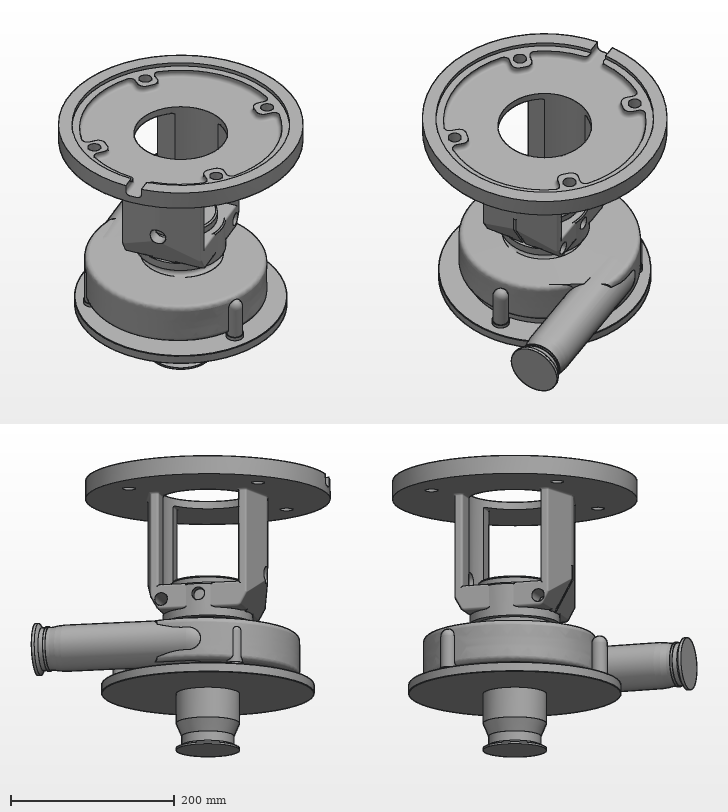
import cadquery as cq
import math

OVERALL_LENGTH_Y = 343.7
POSITION_TOLERANCE = 0.17
SELECTION_MARGIN = 3.5

FLANGE_TOP = 337.5
FLANGE_THICKNESS = 22.7
FLANGE_BOTTOM = FLANGE_TOP - FLANGE_THICKNESS
FLANGE_RADIUS = 300.0 / 2
BORE_RADIUS = 57.5
REGISTER_RADIUS = 133.5
REGISTER_DEPTH = 4.8
POCKET_RADIUS = 124.0
POCKET_FLOOR = FLANGE_TOP - 13.5
POCKET_FLOOR_FILLET = 5.5
POCKET_CORNER_RADIUS = 7.0
PAD_HALF_WIDTH = 13.0
PAD_INWARD_REACH = 15.8
PAD_CORNER_RADIUS = 9.0
BOLT_CIRCLE_RADIUS = 114.5
BOLT_ANGLES = (45, 135, 225, 315)
BOLT_HOLE_DIAMETER = 15.8
DRAIN_WIDTH = 20.5
DRAIN_CORNER_RADIUS = 5.5

HUB_BOTTOM = 157.8
HUB_TOP = 199.5
HUB_RADIUS = 110.3 / 2
HUB_CHAMFER = 1.7
BODY_BOTTOM = 168.0
BODY_HALF_WIDTH = 53.0
ARM_APEX_Y = 74.5
ARM_APEX_HALF_WIDTH = 3.0
ARM_SIDE_Y = 60.0
WINDOW_HALF_WIDTH = 50.0
WINDOW_EDGE_FILLET = 3.0
ARM_ROOT_FILLET = 2.5
BODY_EDGE_FILLET = 2.7
FOOT_FILLET = 6.2
RIDGE_LOWEST_Z = 182.0
RIDGE_FILLET = 1.7
FOOT_SLOPE_TOP = 209.5
FOOT_SLOPE = 0.56
CAP_RADIUS = 89.7 / 2
CAP_TOP = 209.5
CAP_CHAMFER = 2.0
ARM_HOLE_DIAMETER = 20.5
ARM_HOLE_Z = 216.5
CLAMP_SLOT_WIDTH = 3.8
CLAMP_HOLE_DIAMETER = 15.8
CLAMP_HOLE_Y = 47.0
CLAMP_HOLE_Z = 180.8
SIDE_HOLE_Z = 185.3

CASING_BOTTOM = 90.0
CASING_CENTER_Z = 115.5
NECK_RADIUS = 46.0
NECK_FILLET_BOTTOM = 145.5
NECK_FILLET_TOP = 151.5
DOME_INNER_RADIUS = 50.5
DOME_INNER_Z = 145.7
DOME_OUTER_RADIUS = 137.5
DOME_OUTER_Z = 139.5
DOME_TILT = 0.5
VOLUTE_START_RADIUS = 97.5
VOLUTE_GROWTH_PER_TURN = 24.7
VOLUTE_START_ANGLE = 140
VOLUTE_TURNS = 0.94
VOLUTE_STEPS = 24
CASING_TOP_FILLET = 6.5
CASING_BOTTOM_FILLET = 5.5

PLATE_BOTTOM = 70.8
PLATE_TOP = 82.5
PLATE_RADIUS = 261.0 / 2
PLATE_CHAMFER = 0.7
PLATE_REGISTER_RADIUS = 97.0
STUD_CIRCLE_RADIUS = 109.3
STUD_ANGLES = (90, 210, 330)
STUD_RADIUS = 9.5
STUD_DOME_Z = 126.5
STUD_WASHER_RADIUS = 10.5
STUD_WASHER_TOP = 87.0

INLET_RADIUS = 78.0 / 2
INLET_NARROW_RADIUS = 64.3 / 2
INLET_CONE_TOP = 33.7
INLET_CONE_BOTTOM = 17.5
FERRULE_CONE_TOP = 6.0
FERRULE_RIM_THICKNESS = 2.5

OUTLET_X = -95.0
OUTLET_RADIUS = 28.5
OUTLET_END_Y = OVERALL_LENGTH_Y - FLANGE_RADIUS
OUTLET_RIM_RADIUS = 64.3 / 2
OUTLET_NECK_RADIUS = 26.5
OUTLET_RIM_Y = OUTLET_END_Y - 3.8
OUTLET_NECK_Y = OUTLET_END_Y - 7.2
OUTLET_BEAD_RADIUS = 27.5
OUTLET_BEAD_Y = OUTLET_END_Y - 13.0
OUTLET_BEAD_WIDTH = 3.0
OUTLET_COLLAR_Y = OUTLET_END_Y - 21.0
OUTLET_SHOULDER_RADIUS = 28.0
OUTLET_SHOULDER_Y = OUTLET_END_Y - 28.2
OUTLET_TAPER_Y = OUTLET_END_Y - 36.0


def cylinder(radius, bottom, top):
    return cq.Workplane("XY").workplane(offset=bottom).circle(radius).extrude(top - bottom)


def box(x_min, x_max, y_min, y_max, z_min, z_max):
    size = (x_max - x_min, y_max - y_min, z_max - z_min)
    return cq.Workplane("XY").box(*size, centered=False).translate((x_min, y_min, z_min))


def rounded_at_radius(solid, at_radius, fillet_radius):
    """Round the upright edges of a solid that stand at the given distance from the Z axis."""
    corners = solid.edges("|Z").filter(
        lambda edge: abs(math.hypot(edge.Center().x, edge.Center().y) - at_radius) < POSITION_TOLERANCE
    )
    return corners.fillet(fillet_radius)


def make_motor_pocket():
    """Pocket volume with four bolt pads left standing and a drain channel toward -Y."""
    pocket = cylinder(POCKET_RADIUS, POCKET_FLOOR, FLANGE_TOP)
    pad = (
        box(BOLT_CIRCLE_RADIUS - PAD_INWARD_REACH, FLANGE_RADIUS, -PAD_HALF_WIDTH, PAD_HALF_WIDTH,
            POCKET_FLOOR, FLANGE_TOP)
        .edges("|Z and <X").fillet(PAD_CORNER_RADIUS)
    )
    for angle in BOLT_ANGLES:
        pocket = pocket.cut(pad.rotate((0, 0, 0), (0, 0, 1), angle))
    pocket = rounded_at_radius(pocket, POCKET_RADIUS, POCKET_CORNER_RADIUS)

    drain_end = FLANGE_RADIUS + 2 * POCKET_FLOOR_FILLET
    drain = box(-DRAIN_WIDTH / 2, DRAIN_WIDTH / 2, -drain_end, -BOLT_CIRCLE_RADIUS,
                POCKET_FLOOR, FLANGE_TOP)
    pocket = rounded_at_radius(pocket.union(drain), POCKET_RADIUS, DRAIN_CORNER_RADIUS)
    return pocket.faces("<Z").edges().fillet(POCKET_FLOOR_FILLET)


def make_flange():
    """Motor flange with its register recess, pocket and bolt holes."""
    flange = cylinder(FLANGE_RADIUS, FLANGE_BOTTOM, FLANGE_TOP)
    flange = flange.cut(cylinder(REGISTER_RADIUS, FLANGE_TOP - REGISTER_DEPTH, FLANGE_TOP))
    flange = flange.cut(make_motor_pocket())
    for angle in BOLT_ANGLES:
        hole = cylinder(BOLT_HOLE_DIAMETER / 2, FLANGE_BOTTOM, FLANGE_TOP)
        hole = hole.translate((BOLT_CIRCLE_RADIUS, 0, 0))
        flange = flange.cut(hole.rotate((0, 0, 0), (0, 0, 1), angle))
    return flange


def make_foot_wedges():
    """Pair of wedges that slope the lower ends of the two arms back to the hub."""
    sloped_height = FOOT_SLOPE_TOP - BODY_BOTTOM
    foot_y = ARM_APEX_Y - FOOT_SLOPE * sloped_height
    wedge = (
        cq.Workplane("YZ")
        .polyline([(ARM_APEX_Y, FOOT_SLOPE_TOP), (ARM_APEX_Y, BODY_BOTTOM), (foot_y, BODY_BOTTOM)])
        .close().extrude(BODY_HALF_WIDTH, both=True)
    )
    return wedge.union(wedge.mirror("XZ"))


def make_lantern_body():
    """Six-sided body between hub and flange, open across X, with its lower ends sloped."""
    half_outline = [
        (BODY_HALF_WIDTH, ARM_SIDE_Y),
        (ARM_APEX_HALF_WIDTH, ARM_APEX_Y),
        (-ARM_APEX_HALF_WIDTH, ARM_APEX_Y),
        (-BODY_HALF_WIDTH, ARM_SIDE_Y),
    ]
    outline = half_outline + [(-x, -y) for x, y in half_outline]
    body = (
        cq.Workplane("XY").workplane(offset=BODY_BOTTOM)
        .polyline(outline).close().extrude(FLANGE_BOTTOM - BODY_BOTTOM)
    )
    body = body.cut(make_foot_wedges())
    body = body.faces("<Z").edges("|X").fillet(FOOT_FILLET)
    body = body.faces(">X or <X").edges("not >Z").fillet(BODY_EDGE_FILLET)
    ridge_height = cq.selectors.BoxSelector(
        (-BODY_HALF_WIDTH, -ARM_APEX_Y - SELECTION_MARGIN, RIDGE_LOWEST_Z),
        (BODY_HALF_WIDTH, ARM_APEX_Y + SELECTION_MARGIN, FOOT_SLOPE_TOP + SELECTION_MARGIN),
    )
    body = body.edges(ridge_height).edges("not |Z").fillet(RIDGE_FILLET)
    window = box(-ARM_APEX_Y, ARM_APEX_Y, -WINDOW_HALF_WIDTH, WINDOW_HALF_WIDTH, HUB_TOP, FLANGE_BOTTOM)
    body = body.cut(window)
    window_edges = cq.selectors.BoxSelector(
        (-FLANGE_RADIUS, -WINDOW_HALF_WIDTH - POSITION_TOLERANCE, HUB_TOP - POSITION_TOLERANCE),
        (FLANGE_RADIUS, WINDOW_HALF_WIDTH + POSITION_TOLERANCE, FLANGE_BOTTOM - SELECTION_MARGIN),
    )
    return body.faces(">X or <X").edges(window_edges).fillet(WINDOW_EDGE_FILLET)


def make_lantern():
    """Flange, arms and clamp hub bored out together, then closed by the cap in the hub."""
    lantern = make_lantern_body()
    hub = cylinder(HUB_RADIUS, HUB_BOTTOM, HUB_TOP).faces(">Z").edges().chamfer(HUB_CHAMFER)
    hub = hub.cut(make_foot_wedges())
    lantern = lantern.union(hub).union(make_flange())

    root_half_x = BODY_HALF_WIDTH + SELECTION_MARGIN
    root_half_y = ARM_APEX_Y + SELECTION_MARGIN
    root_edges = cq.selectors.BoxSelector(
        (-root_half_x, -root_half_y, FLANGE_BOTTOM - POSITION_TOLERANCE),
        (root_half_x, root_half_y, FLANGE_BOTTOM + POSITION_TOLERANCE),
        boundingbox=True,
    )
    lantern = lantern.edges(root_edges).fillet(ARM_ROOT_FILLET)
    lantern = lantern.cut(cylinder(BORE_RADIUS, HUB_TOP, FLANGE_TOP))

    arm_hole = (
        cq.Workplane("XZ").center(0, ARM_HOLE_Z)
        .circle(ARM_HOLE_DIAMETER / 2).extrude(FLANGE_RADIUS)
    )
    clamp_slot = box(-CLAMP_SLOT_WIDTH / 2, CLAMP_SLOT_WIDTH / 2, 0, FLANGE_RADIUS,
                     BODY_BOTTOM, ARM_HOLE_Z + ARM_HOLE_DIAMETER / 2)
    clamp_hole = (
        cq.Workplane("YZ").center(CLAMP_HOLE_Y, CLAMP_HOLE_Z)
        .circle(CLAMP_HOLE_DIAMETER / 2).extrude(FLANGE_RADIUS, both=True)
    )
    side_hole = (
        cq.Workplane("YZ").center(0, SIDE_HOLE_Z)
        .circle(CLAMP_HOLE_DIAMETER / 2).extrude(-FLANGE_RADIUS)
    )
    lantern = lantern.cut(arm_hole).cut(clamp_slot).cut(clamp_hole).cut(side_hole)
    cap = cylinder(CAP_RADIUS, HUB_BOTTOM, CAP_TOP).faces(">Z").edges().chamfer(CAP_CHAMFER)
    return lantern.union(cap)


def volute_point(turn):
    """Point of the spiral wall, which runs clockwise from the start angle as its radius grows."""
    angle = math.radians(VOLUTE_START_ANGLE - 360 * turn)
    radius = VOLUTE_START_RADIUS + VOLUTE_GROWTH_PER_TURN * turn
    return (radius * math.cos(angle), radius * math.sin(angle))


def make_casing():
    """Spiral casing under a shallow conical roof that tilts up slightly toward the outlet side."""
    spiral = [volute_point(VOLUTE_TURNS * step / VOLUTE_STEPS) for step in range(1, VOLUTE_STEPS + 1)]
    casing = (
        cq.Workplane("XY").workplane(offset=CASING_BOTTOM)
        .moveTo(*volute_point(0))
        .spline(spiral, includeCurrent=True)
        .close().extrude(NECK_FILLET_TOP - CASING_BOTTOM)
    )
    roof = (
        cq.Workplane("XZ")
        .moveTo(0, PLATE_BOTTOM)
        .lineTo(DOME_OUTER_RADIUS, PLATE_BOTTOM)
        .lineTo(DOME_OUTER_RADIUS, DOME_OUTER_Z)
        .lineTo(DOME_INNER_RADIUS, DOME_INNER_Z)
        .lineTo(0, DOME_INNER_Z)
        .close().revolve(360, (0, 0, 0), (0, 1, 0))
    )
    roof = roof.rotate((0, 0, DOME_INNER_Z), (0, 1, DOME_INNER_Z), DOME_TILT)
    casing = casing.intersect(roof)
    casing = casing.faces("<Z").edges("not %LINE").fillet(CASING_BOTTOM_FILLET)
    return casing.faces("%CONE").edges("not %LINE").edges("<Z").fillet(CASING_TOP_FILLET)


def make_neck():
    """Round neck that flares out onto the casing roof."""
    flare_radius = NECK_FILLET_TOP - NECK_FILLET_BOTTOM
    return (
        cq.Workplane("XZ")
        .moveTo(0, CASING_CENTER_Z)
        .lineTo(NECK_RADIUS + flare_radius, CASING_CENTER_Z)
        .lineTo(NECK_RADIUS + flare_radius, NECK_FILLET_BOTTOM)
        .radiusArc((NECK_RADIUS, NECK_FILLET_TOP), flare_radius)
        .lineTo(NECK_RADIUS, HUB_BOTTOM)
        .lineTo(0, HUB_BOTTOM)
        .close().revolve(360, (0, 0, 0), (0, 1, 0))
    )


def make_outlet():
    """Outlet pipe along +Y with a rounded inner end, a tapered neck and a ferrule rim."""
    profile = [
        (OUTLET_RADIUS, 0),
        (OUTLET_RADIUS, OUTLET_TAPER_Y),
        (OUTLET_SHOULDER_RADIUS, OUTLET_SHOULDER_Y),
        (OUTLET_NECK_RADIUS, OUTLET_COLLAR_Y),
        (OUTLET_NECK_RADIUS, OUTLET_NECK_Y),
        (OUTLET_RIM_RADIUS, OUTLET_RIM_Y),
        (OUTLET_RIM_RADIUS, OUTLET_END_Y),
        (0, OUTLET_END_Y),
    ]
    pipe = (
        cq.Workplane("XY")
        .moveTo(0, -OUTLET_RADIUS)
        .radiusArc(profile[0], -OUTLET_RADIUS)
        .polyline(profile[1:], includeCurrent=True)
        .close().revolve(360, (0, 0, 0), (0, 1, 0))
    )
    bead = (
        cq.Workplane("XZ", origin=(0, OUTLET_BEAD_Y, 0))
        .circle(OUTLET_BEAD_RADIUS).extrude(OUTLET_BEAD_WIDTH)
    )
    return pipe.union(bead).translate((OUTLET_X, 0, CASING_CENTER_Z))


def make_stud():
    """Domed stud boss with its washer, at the first stud position before turning."""
    post = cylinder(STUD_RADIUS, PLATE_TOP, STUD_DOME_Z)
    dome = cq.Workplane("XY").sphere(STUD_RADIUS).translate((0, 0, STUD_DOME_Z))
    washer = cylinder(STUD_WASHER_RADIUS, PLATE_TOP, STUD_WASHER_TOP)
    return post.union(dome).union(washer).translate((STUD_CIRCLE_RADIUS, 0, 0))


def make_base():
    """Base plate with its register, and the inlet pipe with a ferrule below it."""
    plate = cylinder(PLATE_RADIUS, PLATE_BOTTOM, PLATE_TOP).edges().chamfer(PLATE_CHAMFER)
    register = cylinder(PLATE_REGISTER_RADIUS, PLATE_TOP, CASING_BOTTOM)
    inlet = (
        cq.Workplane("XZ")
        .polyline([
            (0, 0),
            (INLET_RADIUS, 0),
            (INLET_RADIUS, FERRULE_RIM_THICKNESS),
            (INLET_NARROW_RADIUS, FERRULE_CONE_TOP),
            (INLET_NARROW_RADIUS, INLET_CONE_BOTTOM),
            (INLET_RADIUS, INLET_CONE_TOP),
            (INLET_RADIUS, PLATE_BOTTOM),
            (0, PLATE_BOTTOM),
        ])
        .close().revolve(360, (0, 0, 0), (0, 1, 0))
    )
    return plate.union(register).union(inlet)


def make_pump():
    """Casing with neck, outlet, base plate, inlet and studs."""
    pump = make_casing().union(make_neck()).union(make_outlet())
    pump = pump.union(make_base())
    for angle in STUD_ANGLES:
        pump = pump.union(make_stud().rotate((0, 0, 0), (0, 0, 1), angle))
    return pump


result = make_pump().union(make_lantern())